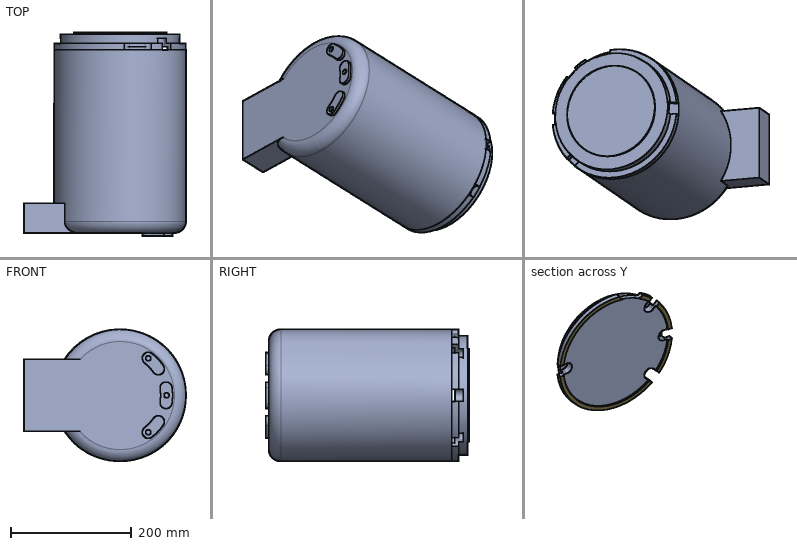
import cadquery as cq
import math


barrel_radius = 110.0
barrel_length = 305.0
front_fillet = 20.0
block_reach = 160.0
block_height = 120.0
block_depth = 50.0

pad_circle_radius = 155.0 / 2
pad_width = 20.0
pad_thickness = 5.0
pad_half_angle = 9.0
pad_tilt = 43.6
pad_hole_diameter = 8.5

flange_thickness = 11.0
shoulder_radius = 199.0 / 2
shoulder_thickness = 15.0
lip_radius = 155.0 / 2
lip_thickness = 3.0
pocket_radius = 102.0
pocket_depth = 5.0

slot_width = 20.0
slot_depth = 19.0
slot_end_center_radius = 94.5
slot_angles = (-45.0, 0.0, 45.0, 180.0)

notch_width = 20.0
notch_floor_radius = 103.5
notch_start_angle = 66.4
notch_end_angle = 81.5

flange_y = barrel_length + flange_thickness
shoulder_y = flange_y + shoulder_thickness
lip_y = shoulder_y + lip_thickness


def plane_at(y):
    """XZ workplane at the given Y; extruding by a negative length goes toward +Y."""
    return cq.Workplane("XZ", origin=(0, y, 0))


def disc(radius, y_start, y_end):
    return plane_at(y_start).circle(radius).extrude(y_start - y_end)


def polar(radius, angle):
    """Point in the XZ plane, with the angle in degrees from +X toward +Z."""
    return (
        radius * math.cos(math.radians(angle)),
        radius * math.sin(math.radians(angle)),
    )


def arc_slot(radius, width, start_angle, end_angle, y_start, y_end):
    """Round-ended slot shape that follows an arc about the Y axis."""
    outer = radius + width / 2
    inner = radius - width / 2
    middle_angle = (start_angle + end_angle) / 2
    start_x, start_z = polar(radius, start_angle)
    end_x, end_z = polar(radius, end_angle)
    back_x, back_z = polar(width / 2, start_angle - 90)
    ahead_x, ahead_z = polar(width / 2, end_angle + 90)
    return (
        plane_at(y_start)
        .moveTo(*polar(outer, start_angle))
        .threePointArc(polar(outer, middle_angle), polar(outer, end_angle))
        .threePointArc((end_x + ahead_x, end_z + ahead_z), polar(inner, end_angle))
        .threePointArc(polar(inner, middle_angle), polar(inner, start_angle))
        .threePointArc((start_x + back_x, start_z + back_z), polar(outer, start_angle))
        .close()
        .extrude(y_start - y_end)
    )


def make_housing():
    barrel = disc(barrel_radius, 0, barrel_length).faces("<Y").edges().fillet(front_fillet)
    block = cq.Workplane("XY").box(
        block_reach, block_depth, block_height, centered=(False, False, True)
    ).translate((-block_reach, 0, 0))
    housing = barrel.union(block)

    outer_hole_angle = pad_tilt + pad_half_angle
    pads = ((-pad_tilt, -outer_hole_angle), (0, 0), (pad_tilt, outer_hole_angle))
    for pad_angle, hole_angle in pads:
        pad = arc_slot(
            pad_circle_radius,
            pad_width,
            pad_angle - pad_half_angle,
            pad_angle + pad_half_angle,
            -pad_thickness,
            0,
        )
        hole_x, hole_z = polar(pad_circle_radius, hole_angle)
        hole = disc(pad_hole_diameter / 2, -pad_thickness, 0).translate((hole_x, 0, hole_z))
        housing = housing.union(pad.cut(hole))
    return housing


def radial_slot(angle):
    """Slot running out past the rim, with a round end toward the axis."""
    slot_end_y = barrel_length + slot_depth
    run_length = barrel_radius - slot_end_center_radius + slot_width
    run = (
        plane_at(barrel_length)
        .center(slot_end_center_radius + run_length / 2, 0)
        .rect(run_length, slot_width)
        .extrude(-slot_depth)
    )
    round_end = disc(slot_width / 2, barrel_length, slot_end_y).translate((slot_end_center_radius, 0, 0))
    return run.union(round_end).rotate((0, 0, 0), (0, 1, 0), -angle)


def make_end_cap():
    cap = (
        disc(barrel_radius, barrel_length, flange_y)
        .union(disc(shoulder_radius, flange_y, shoulder_y))
        .union(disc(lip_radius, shoulder_y, lip_y))
        .cut(disc(pocket_radius, barrel_length, barrel_length + pocket_depth))
    )
    for angle in slot_angles:
        cap = cap.cut(radial_slot(angle))
    notch = arc_slot(
        notch_floor_radius + notch_width / 2,
        notch_width,
        notch_start_angle,
        notch_end_angle,
        barrel_length,
        flange_y,
    )
    return cap.cut(notch)


housing = make_housing()
end_cap = make_end_cap()

result = cq.Compound.makeCompound([housing.val(), end_cap.val()])